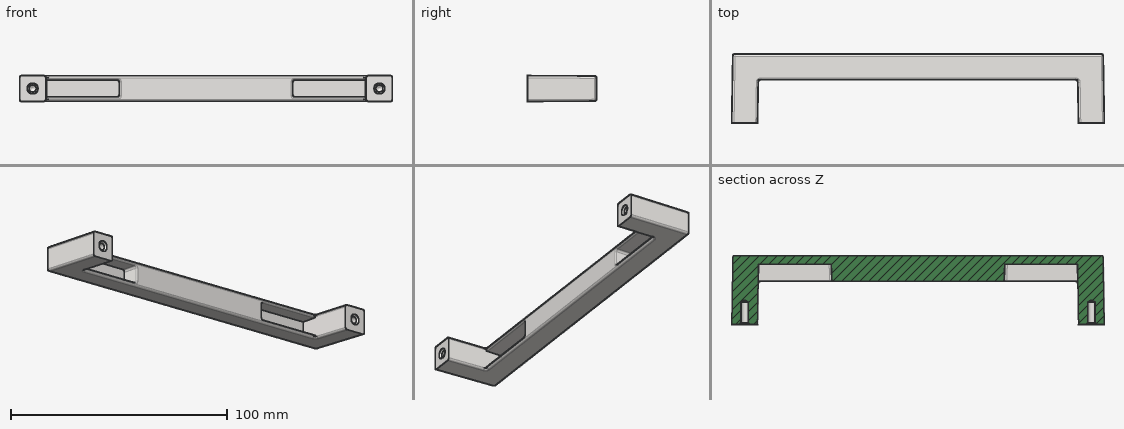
import cadquery as cq
import math

length = 172.0
depth = 32.0
thickness = 12.0

leg_width = thickness
bar_depth = thickness
leg_splay = 0.5
face_taper = 0.2
corner_radius = 1.0
edge_radius = 1.0

hole_diameter = 3.3
hole_depth = 10.3
hole_tip_angle = 118.0
hole_mouth_diameter = 5.0

pocket_length = 33.9
pocket_height = 8.5
pocket_depth = 7.9
pocket_wall_taper = 0.3
pocket_corner_radius = 1.0
pocket_mouth_radius = 0.6

back_y = depth / 2
front_y = -depth / 2
inner_y = back_y - bar_depth
hole_x = (length - leg_width) / 2


def leg_outer_x(y):
    """Half-width of the handle over the outer leg faces at depth position y."""
    return length / 2 - leg_splay * (y - front_y) / depth


def leg_inner_x(y):
    """Half-width of the opening between the legs; parallel to the outer faces."""
    return leg_outer_x(y) - leg_width


def make_body():
    """U-shaped handle with rounded edges and flat, sharp-edged leg ends."""
    right_outline = [
        (leg_outer_x(back_y), back_y),
        (leg_outer_x(front_y), front_y),
        (leg_inner_x(front_y), front_y),
        (leg_inner_x(inner_y), inner_y),
    ]
    left_outline = [(-x, y) for x, y in reversed(right_outline)]
    plan = cq.Workplane("XY").polyline(right_outline + left_outline).close()
    body = plan.extrude(thickness / 2, both=True)

    side_outline = [
        (front_y, -thickness / 2),
        (front_y, thickness / 2),
        (back_y, thickness / 2 - face_taper),
        (back_y, face_taper - thickness / 2),
    ]
    side = cq.Workplane("YZ").polyline(side_outline).close()
    body = body.intersect(side.extrude(length / 2, both=True))

    inner_corners = cq.selectors.BoxSelector(
        (-length, inner_y - corner_radius, -thickness),
        (length, inner_y + corner_radius, thickness),
    )
    body = body.edges("|Z").edges(inner_corners).fillet(corner_radius)
    body = body.edges("|Z and >Y").fillet(edge_radius)

    rim = body.faces("<Z or >Z").edges().edges("not <Y")
    return body.newObject(rim.vals()).fillet(edge_radius)


def make_hole(x):
    """Blind drilled hole with a countersunk mouth and conical tip, running into a leg end."""
    mouth_radius = hole_mouth_diameter / 2
    radius = hole_diameter / 2
    mouth_depth = mouth_radius - radius
    tip_length = radius / math.tan(math.radians(hole_tip_angle / 2))
    profile = (
        cq.Workplane("XY")
        .moveTo(0, 0)
        .lineTo(mouth_radius, 0)
        .lineTo(radius, mouth_depth)
        .lineTo(radius, hole_depth)
        .lineTo(0, hole_depth + tip_length)
        .close()
    )
    return profile.revolve(360, (0, 0, 0), (0, 1, 0)).translate((x, front_y, 0))


def pocket_section(y, taper):
    """Rectangle across the right-hand pocket at depth position y, drawn in by the wall taper."""
    start_x = leg_inner_x(inner_y) - pocket_length + taper
    end_x = leg_inner_x(y)
    half_height = pocket_height / 2 - taper
    corners = [
        cq.Vector(start_x, y, -half_height),
        cq.Vector(end_x, y, -half_height),
        cq.Vector(end_x, y, half_height),
        cq.Vector(start_x, y, half_height),
    ]
    return cq.Wire.makePolygon(corners, close=True)


def make_pocket():
    """Cutter for the right-hand pocket; its outer end carries on the leg's inner face."""
    floor_y = inner_y + pocket_depth
    sections = [pocket_section(inner_y, 0), pocket_section(floor_y, pocket_wall_taper)]
    cavity = cq.Workplane(cq.Solid.makeLoft(sections, True))
    cavity = cavity.faces("<X").edges("not(<Y or >Y)").fillet(pocket_corner_radius)

    slab_front_y = inner_y - corner_radius
    slab_start_x = leg_inner_x(inner_y) - pocket_length - 2 * pocket_mouth_radius
    slab_outline = [
        (slab_start_x, slab_front_y),
        (leg_inner_x(slab_front_y), slab_front_y),
        (leg_inner_x(inner_y), inner_y),
        (slab_start_x, inner_y),
    ]
    slab_height = thickness - 2 * edge_radius
    slab = cq.Workplane("XY").polyline(slab_outline).close().extrude(slab_height / 2, both=True)

    box_half_height = (pocket_height + pocket_mouth_radius) / 2
    mouth_edges = cq.selectors.BoxSelector(
        (slab_start_x + pocket_mouth_radius / 2, inner_y - corner_radius / 4, -box_half_height),
        (leg_inner_x(inner_y) - corner_radius, inner_y + corner_radius / 4, box_half_height),
    )
    return slab.union(cavity).edges(mouth_edges).fillet(pocket_mouth_radius)


result = make_body()
for x in (-hole_x, hole_x):
    result = result.cut(make_hole(x))
pocket = make_pocket()
result = result.cut(pocket).cut(pocket.mirror("YZ"))